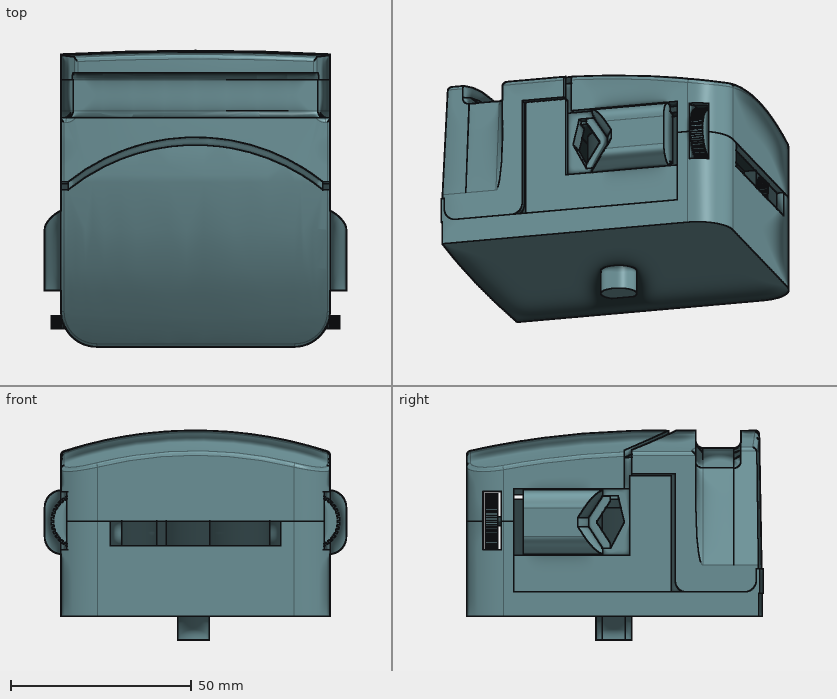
import cadquery as cq
import math

HALF_WIDTH = 37.4
TOP_Z = 51.6
CORNER_RADIUS = 10.1
WALL = 2.0
INNER_HALF_WIDTH = HALF_WIDTH - WALL
RIM_FILLET = 1.25

CROWN_RADIUS = 118.15
CROWN_Y = 51.95
FORE_AFT_RADIUS = 233.8
DOME_SWEEP = 40

FLOOR_Z = 6.8
SPLIT_Z = 26.4
CHAMBER_FLOOR_Z = 11.1
CORE_TOP_Z = 32.5
CORE_CEILING_Z = 33.7
CEILING_BACK_Y = 33.5
POCKET_CEILING_Z = 35.45
FRONT_BLOCK_Y = 13.1
BEARING_Y = 9.55
CHASSIS_BACK_Y = 56.8
CHASSIS_TOP_Z = 39.05
POCKET_Y = 45.25
POCKET_FLOOR_Z = 16.9
CORE_HALF_WIDTH = 33.1
CHAMBER_HALF_WIDTH = 29.3
CHAMBER_BACK_Y = 50.4

SEAM_CREST_Y = 58.2
SEAM_RADIUS = 56.6
SEAM_GROOVE = 2.2
SEAM_SIDE_Y = SEAM_CREST_Y - SEAM_RADIUS + math.sqrt(SEAM_RADIUS**2 - INNER_HALF_WIDTH**2)
SIDE_GAP_Y = 1.1
SIDE_GAP_Z = 0.6

BASE_BACK_SIDE_Y = 81.0
BASE_BACK_CREST_Y = 82.0
SHELL_BACK_PROUD = 0.2
BACK_LEAN = 1.0
SHELL_REAR_FOOT_FILLET = 3.3
SHELL_FRONT_FOOT_FILLET = 2.9
CHANNEL_FRONT_Y = 63.6
CHANNEL_BACK_Y = 76.1
CHANNEL_DEPTH = 4.9
CHANNEL_RADIUS = 106.4
CHANNEL_FILLET = 1.9
TAPER_Z = 14.3
STRAP_INSET = 3.5
REAR_INSET = 3.3
STRAP_BACK_Y = 74.15
TAPER_END_Z = 41.9

LIP_FRONT_Y = 80.35
LIP_TOP_Z = 13.15
LIP_BOTTOM_Z = 6.4
LIP_PROUD = 0.25

SLOT_HALF_WIDTH = 23.7
SLOT_SILL_Z = 19.6
WINDOW_FRONT_Y = 4.5
WINDOW_BOTTOM_Z = 18.5
WINDOW_TOP_Z = 34.6

WHEEL_DIAMETER = 15.25
WHEEL_ROOT_DIAMETER = 13.9
WHEEL_X = 32.4
WHEEL_FRONT_Y = 5.1
WHEEL_WIDTH = 3.5
WHEEL_TEETH = 36
TOOTH_GAP = 0.7
AXLE_DIAMETER = 2.5
AXLE_END_Y = 11.7

BUTTON_OUTER_X = 41.9
BUTTON_FRONT_Y = 15.7
BUTTON_BACK_Y = 37.8
BUTTON_MID_Z = 26.15
BUTTON_HEIGHT = 17.85
BUTTON_ROUNDING = 4.95
NOTCH_APEX_Y = 30.8
NOTCH_FLAT = 2.5
NOTCH_SLOPE = 0.65
NOTCH_DRIFT = 0.46
PLATE_HEIGHT = 14.5
PLATE_BACK_Y = 39.9
PLATE_NOTCH_Y = 36.1
PLATE_NOTCH_FLAT = 0.25

SHAFT_DIAMETER = 10.0
SHAFT_FLAT_X = 3.85
SHAFT_BOTTOM_Z = -6.6
SHAFT_Y = 40.8
HUB_DIAMETER = 16.3
GEAR_DIAMETER = 16.5
GEAR_X = 12.2
GEAR_Y = 29.3
GEAR_TOP_Z = 30.2
POST_DIAMETER = 8.7
POST_X = 24.9
POST_Y = 15.5
BOSS_DIAMETER = 16.3
BOSS_X = -18.9
BOSS_Y = 35.8

OPENING_TIP_Y = 43.7
OPENING_BACK_Y = 42.0
OPENING_FOOT_Y = 39.9
OPENING_FRONT_Y = 36.0
OPENING_HALF_HEIGHT = 7.3

REACH = 167.6
COVER_BLANK_BACK_Y = 83.8
MARGIN = 0.1


def block(x0, x1, y0, y1, z0, z1):
    """Box between opposite corners."""
    return cq.Workplane("XY").box(x1 - x0, y1 - y0, z1 - z0, centered=False).translate((x0, y0, z0))


def wide_block(half_width, y0, y1, z0, z1):
    """Box that is symmetric about the middle plane."""
    return block(-half_width, half_width, y0, y1, z0, z1)


def post(diameter, x, y, z0, z1):
    """Upright cylinder."""
    return cq.Workplane("XY").circle(diameter / 2).extrude(z1 - z0).translate((x, y, z0))


def both_sides(left):
    """The left-hand shape and its mirror image."""
    return [left, left.mirror("YZ")]


def arched_profile(crest_z, radius, y):
    """Region below an arc across X, in the XZ plane at the given Y."""
    half = HALF_WIDTH + WALL
    edge_z = crest_z - radius + math.sqrt(radius**2 - half**2)
    return (
        cq.Workplane("XZ", origin=(0, y, 0))
        .moveTo(-half, 0)
        .lineTo(-half, edge_z)
        .threePointArc((0, crest_z), (half, edge_z))
        .lineTo(half, 0)
        .close()
    )


def straight_arch(crest_z, radius):
    """Solid below an arc across X, running straight along Y."""
    return arched_profile(crest_z, radius, -REACH).extrude(-2 * REACH)


def domed_crown():
    """Solid below the double-curved top of the cover."""
    axis_z = TOP_Z - FORE_AFT_RADIUS
    axis = ((0, CROWN_Y, axis_z), (1, CROWN_Y, axis_z))
    dome = arched_profile(TOP_Z, CROWN_RADIUS, CROWN_Y).revolve(DOME_SWEEP, (0, axis_z, 0), (1, axis_z, 0))
    return dome.rotate(*axis, -DOME_SWEEP / 2)


def front_rounded_block(y1, z0, z1):
    """Full-width block with rounded vertical front corners."""
    return wide_block(HALF_WIDTH, 0, y1, z0, z1).edges("|Z and <Y").fillet(CORNER_RADIUS)


def bowed_outline(outset):
    """Full-width outline in plan whose back bows outwards."""
    return (
        cq.Workplane("XY")
        .moveTo(-HALF_WIDTH, 0)
        .lineTo(-HALF_WIDTH, BASE_BACK_SIDE_Y + outset)
        .threePointArc((0, BASE_BACK_CREST_Y + outset), (HALF_WIDTH, BASE_BACK_SIDE_Y + outset))
        .lineTo(HALF_WIDTH, 0)
        .close()
    )


def seam_outline(crest_y):
    """Plan of everything in front of the seam arc; the ends run straight out to the sides."""
    side_y = SEAM_SIDE_Y - (SEAM_CREST_Y - crest_y)
    return (
        cq.Workplane("XY")
        .moveTo(-HALF_WIDTH, 0)
        .lineTo(-HALF_WIDTH, side_y)
        .lineTo(-INNER_HALF_WIDTH, side_y)
        .threePointArc((0, crest_y), (INNER_HALF_WIDTH, side_y))
        .lineTo(HALF_WIDTH, side_y)
        .lineTo(HALF_WIDTH, 0)
        .close()
    )


def inner_front_block(z0, z1):
    """Space inside the rounded front wall, ahead of the bearing blocks."""
    space = wide_block(INNER_HALF_WIDTH, WALL, BEARING_Y, z0, z1)
    return space.intersect(
        wide_block(INNER_HALF_WIDTH, WALL, REACH, z0, z1).edges("|Z and <Y").fillet(CORNER_RADIUS - WALL)
    )


def front_chamber():
    """Room for the thumb wheels, open to the gear chamber between the bearing blocks."""
    room = inner_front_block(FLOOR_Z, POCKET_CEILING_Z)
    passage = wide_block(CHAMBER_HALF_WIDTH, BEARING_Y, FRONT_BLOCK_Y, FLOOR_Z, POCKET_CEILING_Z)
    windows = wide_block(REACH, WINDOW_FRONT_Y, BEARING_Y, WINDOW_BOTTOM_Z, WINDOW_TOP_Z)
    return room.union(passage).union(windows)


def axle(x):
    """Pin of one thumb wheel."""
    return (
        cq.Workplane("XZ", origin=(x, WHEEL_FRONT_Y, SPLIT_Z))
        .circle(AXLE_DIAMETER / 2)
        .extrude(WHEEL_FRONT_Y - AXLE_END_Y)
    )


def make_base(rear_shell):
    slab = bowed_outline(0).extrude(FLOOR_Z).edges("|Z and <Y").fillet(CORNER_RADIUS)
    front = front_rounded_block(FRONT_BLOCK_Y, 0, SPLIT_Z)
    lip = (
        bowed_outline(LIP_PROUD)
        .extrude(LIP_TOP_Z - LIP_BOTTOM_Z)
        .translate((0, 0, LIP_BOTTOM_Z))
        .intersect(wide_block(HALF_WIDTH, LIP_FRONT_Y - SHELL_REAR_FOOT_FILLET, REACH, 0, LIP_TOP_Z))
    )
    base = slab.union(front).union(lip).cut(rear_shell).cut(front_chamber())
    base = base.cut(wide_block(SLOT_HALF_WIDTH, 0, WALL, SLOT_SILL_Z, SPLIT_Z))
    base = base.cut(post(SHAFT_DIAMETER, 0, SHAFT_Y, 0, FLOOR_Z))
    for side in (-1, 1):
        base = base.cut(axle(side * WHEEL_X))
    return base


def make_cover():
    cover = front_rounded_block(COVER_BLANK_BACK_Y, SPLIT_Z, TOP_Z + WALL).intersect(domed_crown())
    rim = cq.selectors.BoxSelector(
        (-REACH, -MARGIN, POCKET_CEILING_Z), (REACH, COVER_BLANK_BACK_Y - MARGIN, TOP_Z)
    )
    cover = cover.faces(">Z").edges(rim).fillet(RIM_FILLET)

    cover = cover.intersect(seam_outline(SEAM_CREST_Y).extrude(REACH))
    lowered = domed_crown().translate((0, 0, -WALL)).intersect(
        wide_block(INNER_HALF_WIDTH, -REACH, REACH, 0, REACH)
    )
    groove = seam_outline(SEAM_CREST_Y).extrude(REACH).cut(
        seam_outline(SEAM_CREST_Y - SEAM_GROOVE).extrude(REACH)
    )
    cover = cover.cut(groove.cut(lowered))

    cover = cover.cut(front_chamber())
    cover = cover.cut(wide_block(CORE_HALF_WIDTH, FRONT_BLOCK_Y, CEILING_BACK_Y, 0, CORE_CEILING_Z))
    cover = cover.cut(wide_block(CORE_HALF_WIDTH, CEILING_BACK_Y, POCKET_Y, 0, CORE_TOP_Z))
    over_button = block(-REACH, -CORE_HALF_WIDTH, FRONT_BLOCK_Y, POCKET_Y, 0, POCKET_CEILING_Z)
    for pocket in both_sides(over_button):
        cover = cover.cut(pocket)
    cover = cover.cut(wide_block(REACH, POCKET_Y, REACH, 0, CHASSIS_TOP_Z))
    for side in (-1, 1):
        cover = cover.cut(axle(side * WHEEL_X))
    return cover


def side_taper(inset, back_y):
    """Left-hand cutter for a side that leans inwards, with a rounded inner corner at the front."""
    lean_in = cq.Vector(inset, 0, TAPER_END_Z - TAPER_Z) * 2
    plan = (
        cq.Workplane("XY", origin=(0, 0, TAPER_Z))
        .moveTo(-REACH, CHANNEL_FRONT_Y)
        .lineTo(-HALF_WIDTH - CHANNEL_FILLET, CHANNEL_FRONT_Y)
        .radiusArc((-HALF_WIDTH, CHANNEL_FRONT_Y + CHANNEL_FILLET), -CHANNEL_FILLET)
        .lineTo(-HALF_WIDTH, back_y)
        .lineTo(-REACH, back_y)
        .close()
    )
    return cq.Workplane(cq.Solid.extrudeLinear(plan.wires().val(), [], lean_in))


def make_rear_shell():
    lean = cq.Vector(0, -BACK_LEAN, TOP_Z)
    outline = bowed_outline(SHELL_BACK_PROUD).wires().val()
    shell = cq.Workplane(cq.Solid.extrudeLinear(outline, [], lean))
    shell = shell.intersect(wide_block(HALF_WIDTH, SEAM_SIDE_Y - WALL, REACH, FLOOR_Z, TOP_Z))
    shell = shell.cut(wide_block(HALF_WIDTH, LIP_FRONT_Y, REACH, 0, LIP_TOP_Z))
    shell = shell.faces("<Z").edges(">Y").fillet(SHELL_REAR_FOOT_FILLET)

    for cutter in both_sides(side_taper(REAR_INSET, REACH)):
        shell = shell.cut(cutter)
    shell = shell.intersect(straight_arch(TOP_Z, CROWN_RADIUS))
    top_edges = shell.faces(">Z").edges()
    side_edges = top_edges.edges("%LINE").vals()
    back_edges = [edge for edge in top_edges.vals() if edge.Center().y > CHANNEL_BACK_Y]
    shell = shell.newObject(side_edges + back_edges).fillet(RIM_FILLET)

    channel = (
        wide_block(REACH, CHANNEL_FRONT_Y, CHANNEL_BACK_Y, CHASSIS_TOP_Z / 2, REACH)
        .cut(straight_arch(TOP_Z - CHANNEL_DEPTH, CHANNEL_RADIUS))
    )
    shell = shell.cut(channel.edges("%CIRCLE").fillet(CHANNEL_FILLET))

    for cutter in both_sides(side_taper(STRAP_INSET, STRAP_BACK_Y)):
        shell = shell.cut(cutter)

    shell = shell.cut(seam_outline(SEAM_CREST_Y).extrude(REACH))
    shell = shell.cut(wide_block(HALF_WIDTH, 0, CHASSIS_BACK_Y, 0, CHASSIS_TOP_Z))
    gap_back = CHASSIS_BACK_Y + SIDE_GAP_Y
    gap = block(-REACH, -INNER_HALF_WIDTH, 0, gap_back, 0, CHASSIS_TOP_Z + SIDE_GAP_Z)
    for cutter in both_sides(gap):
        shell = shell.cut(cutter)
    foot = cq.selectors.BoxSelector(
        (-REACH, gap_back - MARGIN, 0), (REACH, gap_back + MARGIN, FLOOR_Z + MARGIN)
    )
    return shell.edges(foot).edges("|X").fillet(SHELL_FRONT_FOOT_FILLET)


def make_chassis():
    chassis = wide_block(HALF_WIDTH, FRONT_BLOCK_Y, CHASSIS_BACK_Y, FLOOR_Z, CHASSIS_TOP_Z)
    tongue = inner_front_block(FLOOR_Z, CHAMBER_FLOOR_Z)
    bridge = wide_block(CHAMBER_HALF_WIDTH, BEARING_Y, FRONT_BLOCK_Y, FLOOR_Z, CHAMBER_FLOOR_Z)
    chassis = chassis.union(tongue).union(bridge)

    shallow = block(-HALF_WIDTH, -INNER_HALF_WIDTH, FRONT_BLOCK_Y, POCKET_Y, POCKET_FLOOR_Z, REACH)
    deep = block(-HALF_WIDTH, -CORE_HALF_WIDTH, FRONT_BLOCK_Y, BUTTON_BACK_Y, POCKET_FLOOR_Z, REACH)
    for pocket in both_sides(shallow.union(deep)):
        chassis = chassis.cut(pocket)
    chassis = chassis.cut(wide_block(HALF_WIDTH, FRONT_BLOCK_Y, POCKET_Y, POCKET_CEILING_Z, REACH))
    chassis = chassis.cut(wide_block(CORE_HALF_WIDTH, FRONT_BLOCK_Y, POCKET_Y, CORE_TOP_Z, REACH))

    chassis = chassis.cut(
        wide_block(CHAMBER_HALF_WIDTH, FRONT_BLOCK_Y, CHAMBER_BACK_Y, CHAMBER_FLOOR_Z, CORE_TOP_Z)
    )
    chassis = chassis.cut(post(SHAFT_DIAMETER, 0, SHAFT_Y, FLOOR_Z, CHAMBER_FLOOR_Z))
    for side in (-1, 1):
        chassis = chassis.union(post(POST_DIAMETER, side * POST_X, POST_Y, CHAMBER_FLOOR_Z, GEAR_TOP_Z))
    chassis = chassis.union(post(BOSS_DIAMETER, BOSS_X, BOSS_Y, CHAMBER_FLOOR_Z, CORE_TOP_Z))

    opening = (
        cq.Workplane("YZ", origin=(-INNER_HALF_WIDTH, 0, BUTTON_MID_Z))
        .moveTo(OPENING_TIP_Y, 0)
        .lineTo(OPENING_BACK_Y, OPENING_HALF_HEIGHT)
        .lineTo(OPENING_FRONT_Y, OPENING_HALF_HEIGHT)
        .lineTo(OPENING_FRONT_Y, -OPENING_HALF_HEIGHT)
        .lineTo(OPENING_FOOT_Y, -OPENING_HALF_HEIGHT)
        .close()
        .extrude(INNER_HALF_WIDTH - CHAMBER_HALF_WIDTH)
    )
    for cutter in both_sides(opening):
        chassis = chassis.cut(cutter)
    return chassis


def notch(apex_x, apex_y, flat, drift):
    """V notch open to +Y that drifts back as it goes inwards from the outer face."""
    half_flat = flat / 2
    rise = BUTTON_HEIGHT
    depth = BUTTON_OUTER_X - CORE_HALF_WIDTH
    profile = (
        cq.Workplane("YZ", origin=(apex_x, apex_y, BUTTON_MID_Z))
        .moveTo(0, -half_flat)
        .lineTo(0, half_flat)
        .lineTo(rise * NOTCH_SLOPE, half_flat + rise)
        .lineTo(REACH, half_flat + rise)
        .lineTo(REACH, -half_flat - rise)
        .lineTo(rise * NOTCH_SLOPE, -half_flat - rise)
        .close()
    )
    inwards = cq.Vector(depth, depth * drift, 0)
    return cq.Workplane(cq.Solid.extrudeLinear(profile.wires().val(), [], inwards))


def button_block(x0, x1, back_y, height):
    """Box of the given height centred on the button's middle level."""
    half = height / 2
    return block(x0, x1, BUTTON_FRONT_Y, back_y, BUTTON_MID_Z - half, BUTTON_MID_Z + half)


def make_button():
    """Left-hand button: a rounded grip on an inner plate, both notched at the back."""
    grip = button_block(-BUTTON_OUTER_X, -INNER_HALF_WIDTH, BUTTON_BACK_Y, BUTTON_HEIGHT)
    grip = grip.edges("|Y and <X").fillet(BUTTON_ROUNDING)
    grip = grip.cut(notch(-BUTTON_OUTER_X, NOTCH_APEX_Y, NOTCH_FLAT, NOTCH_DRIFT))
    plate = button_block(-INNER_HALF_WIDTH, -CORE_HALF_WIDTH, PLATE_BACK_Y, PLATE_HEIGHT)
    plate = plate.cut(notch(-INNER_HALF_WIDTH, PLATE_NOTCH_Y, PLATE_NOTCH_FLAT, 0))
    return grip.union(plate)


def make_wheel(x):
    """Thumb wheel with a toothed rim and an axle at its back."""
    wheel = (
        cq.Workplane("XZ", origin=(x, WHEEL_FRONT_Y, SPLIT_Z))
        .circle(WHEEL_DIAMETER / 2)
        .extrude(-WHEEL_WIDTH)
    )
    gaps = (
        cq.Workplane("XZ", origin=(x, WHEEL_FRONT_Y, SPLIT_Z))
        .polarArray(WHEEL_DIAMETER / 2, 0, 360, WHEEL_TEETH)
        .rect(WHEEL_DIAMETER - WHEEL_ROOT_DIAMETER, TOOTH_GAP)
        .extrude(-WHEEL_WIDTH)
    )
    return wheel.cut(gaps).union(axle(x))


def make_drive_shaft():
    """Gear hub on a shaft with one flat."""
    shaft = post(SHAFT_DIAMETER, 0, SHAFT_Y, SHAFT_BOTTOM_Z, CHAMBER_FLOOR_Z)
    shaft = shaft.cut(block(SHAFT_FLAT_X, REACH, 0, REACH, SHAFT_BOTTOM_Z, CHAMBER_FLOOR_Z))
    return shaft.union(post(HUB_DIAMETER, 0, SHAFT_Y, CHAMBER_FLOOR_Z, GEAR_TOP_Z))


rear_shell = make_rear_shell()
base = make_base(rear_shell)
cover = make_cover()
chassis = make_chassis()
drive_shaft = make_drive_shaft()
idler_gear = post(GEAR_DIAMETER, GEAR_X, GEAR_Y, CHAMBER_FLOOR_Z, GEAR_TOP_Z)
buttons = both_sides(make_button())
wheels = [make_wheel(side * WHEEL_X) for side in (-1, 1)]

single_bodies = [base, cover, rear_shell, chassis, drive_shaft, idler_gear]
result = cq.Compound.makeCompound([body.val() for body in single_bodies + buttons + wheels])